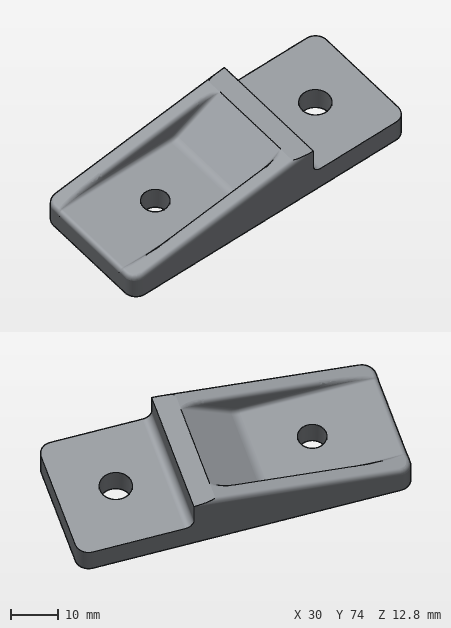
import cadquery as cq
import math

length = 74.0
width = 30.0
height = 12.8
base_thickness = 5.85
corner_radius = 2.95

front_y = -length / 2
back_y = length / 2
step_y = back_y - 25.3
step_fillet = 2.0
ridge_y = front_y + 43.65
outer_fillet = 1.1
ramp_front_height = 5.9
ramp_slope = (height - ramp_front_height) / (ridge_y - front_y)

pocket_width = 22.0
pocket_floor_fillet = 1.0
pocket_rim_fillet = 1.0
back_wall_angle = 30.0
back_bend_radius = 3.7
cut_clearance = 7.4

back_hole_diameter = 7.0
back_hole_y = back_y - 12.7
front_hole_diameter = 6.2
front_hole_y = front_y + 17.9


def ramp_height(y):
    """Height of the sloping top, continued past the ridge."""
    return ramp_front_height + ramp_slope * (y - front_y)


def extrude_across(outline, across):
    """Extrude a closed YZ outline symmetrically about the middle plane."""
    return cq.Workplane("YZ").polyline(outline).close().extrude(across / 2, both=True)


def make_body():
    """Flat plate and wedge, with rounded corners and a rounded ramp edge."""
    outline = [
        (front_y, 0),
        (back_y, 0),
        (back_y, base_thickness),
        (step_y, base_thickness),
        (step_y, ramp_height(step_y)),
        (front_y, ramp_front_height),
    ]
    body = extrude_across(outline, width)
    body = body.edges("|Z and (<Y or >Y)").fillet(corner_radius)
    step_corner = cq.selectors.NearestToPointSelector((0, step_y, base_thickness))
    body = body.edges(step_corner).fillet(step_fillet)
    ramp_side = cq.selectors.NearestToPointSelector((width / 2, 0, ramp_height(0)))
    return body.edges(ramp_side).fillet(outer_fillet)


def make_pocket():
    """Cutter with a flat floor, a slanted back wall, a rounded front lip and rounded lower edges."""
    wall_slope = math.tan(math.radians(back_wall_angle))
    wall_foot_y = ridge_y - (height - base_thickness) / wall_slope
    cutter_top = height + cut_clearance
    cutter_front = front_y - cut_clearance
    lip_bottom = base_thickness - outer_fillet
    lip_back = front_y + outer_fillet
    arc_inset = outer_fillet * (1 - math.sqrt(0.5))
    lip_arc_point = (front_y + arc_inset, base_thickness - arc_inset)
    cutter = (
        cq.Workplane("YZ")
        .moveTo(front_y, lip_bottom)
        .threePointArc(lip_arc_point, (lip_back, base_thickness))
        .lineTo(wall_foot_y, base_thickness)
        .lineTo(wall_foot_y + (cutter_top - base_thickness) / wall_slope, cutter_top)
        .lineTo(cutter_front, cutter_top)
        .lineTo(cutter_front, lip_bottom)
        .close()
        .extrude(pocket_width / 2, both=True)
    )
    bend = cq.selectors.NearestToPointSelector((0, wall_foot_y, base_thickness))
    cutter = cutter.edges(bend).fillet(back_bend_radius)
    floor_middle_y = (front_y + wall_foot_y) / 2
    for side in (-1, 1):
        edge_point = (side * pocket_width / 2, floor_middle_y, base_thickness)
        floor_edge = cq.selectors.NearestToPointSelector(edge_point)
        cutter = cutter.edges(floor_edge).fillet(pocket_floor_fillet)
    return cutter


def round_pocket_rim(body):
    """Round both long edges where the ramp meets the pocket walls."""
    rim_middle_y = (front_y + ridge_y) / 2
    rim_z = ramp_height(rim_middle_y)
    left_rim = cq.selectors.NearestToPointSelector((-pocket_width / 2, rim_middle_y, rim_z))
    right_rim = cq.selectors.NearestToPointSelector((pocket_width / 2, rim_middle_y, rim_z))
    return body.edges(left_rim + right_rim).fillet(pocket_rim_fillet)


def make_hole(diameter, y):
    """Cutter for a vertical hole on the middle plane."""
    return cq.Workplane("XY").center(0, y).circle(diameter / 2).extrude(height)


def make_ridge_trim():
    """Block that levels the ramp off at the full height behind the ridge."""
    trim = cq.Workplane("XY").workplane(offset=height)
    return trim.rect(2 * width, 2 * length).extrude(cut_clearance)


result = round_pocket_rim(make_body().cut(make_pocket()))
result = result.cut(make_ridge_trim())
result = result.cut(make_hole(back_hole_diameter, back_hole_y))
result = result.cut(make_hole(front_hole_diameter, front_hole_y))